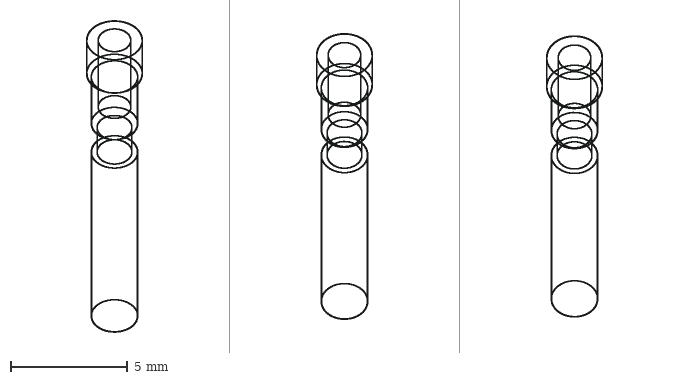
import cadquery as cq
import math

total_length = 16.5
shank_top = 9.82
shoulder_bottom = 11.27
shoulder_taper = 0.25
head_length = 2.0
head_taper = 0.2

head_diameter = 2.4
shank_diameter = 2.0
neck_diameter = 1.5
bore_diameter = 1.4

bore_depth = 4.0
drill_point_angle = 150.0

head_radius = head_diameter / 2
shank_radius = shank_diameter / 2
neck_radius = neck_diameter / 2
bore_radius = bore_diameter / 2
head_bottom = total_length - head_length
bore_floor = total_length - bore_depth
drill_point_depth = bore_radius / math.tan(math.radians(drill_point_angle / 2))

half_section = [
    (0, 0),
    (shank_radius, 0),
    (shank_radius, shank_top),
    (neck_radius, shank_top),
    (neck_radius, shoulder_bottom),
    (shank_radius, shoulder_bottom + shoulder_taper),
    (shank_radius, head_bottom - head_taper),
    (head_radius, head_bottom),
    (head_radius, total_length),
    (bore_radius, total_length),
    (bore_radius, bore_floor),
    (0, bore_floor - drill_point_depth),
]

result = cq.Workplane("XZ").polyline(half_section).close().revolve(360, (0, 0), (0, 1))